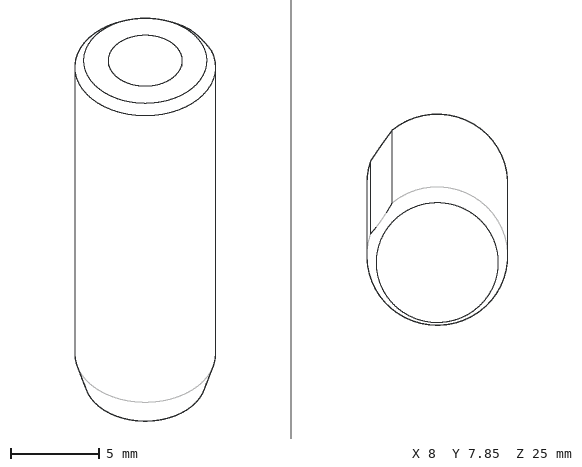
import cadquery as cq
import math

length = 25.0
radius = 4.0
top_chamfer = 0.5
lead_in_height = 2.0
lead_in_angle = 15.0
bottom_radius = radius - lead_in_height * math.tan(math.radians(lead_in_angle))

hole_radius = 2.1
hole_depth = 14.0
drill_point_angle = 118.0
drill_point_depth = hole_radius / math.tan(math.radians(drill_point_angle / 2))

flat_distance = 3.85


def make_body():
    """Revolve the pin with its chamfered top and tapered lead-in."""
    return (
        cq.Workplane("XZ")
        .lineTo(bottom_radius, 0)
        .lineTo(radius, lead_in_height)
        .lineTo(radius, length - top_chamfer)
        .lineTo(radius - top_chamfer, length)
        .lineTo(0, length)
        .close()
        .revolve(360, (0, 0), (0, 1))
    )


def make_hole():
    """Revolve the drilled hole including its pointed end."""
    shoulder = length - hole_depth
    return (
        cq.Workplane("XZ")
        .moveTo(0, length)
        .lineTo(hole_radius, length)
        .lineTo(hole_radius, shoulder)
        .lineTo(0, shoulder - drill_point_depth)
        .close()
        .revolve(360, (0, 0), (0, 1))
    )


def make_flat_cutter():
    """Block of material lying beyond the flat."""
    return (
        cq.Workplane("XY")
        .box(2 * radius, radius, length, centered=(True, False, False))
        .translate((0, flat_distance, 0))
    )


result = make_body().cut(make_hole()).cut(make_flat_cutter())